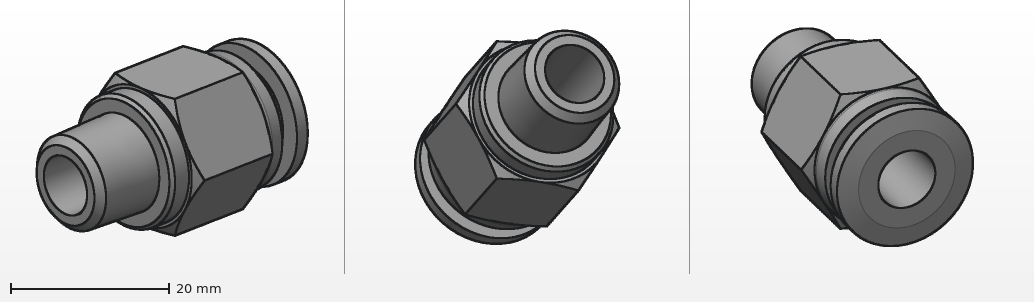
import cadquery as cq
import math

bore_radius = 3.98
thread_tip_radius = 6.37
thread_root_radius = 6.65
thread_chamfer = 1.05
collar_radius = 9.0
collar_chamfer = 0.5
cap_radius = 9.5
cap_end_radius = 9.2
neck_radius = 7.85
sleeve_radius = 6.95
button_radius = 9.5
button_face_radius = 6.75

total_length = 33.7
thread_end = 10.05
hex_start = 12.97
hex_end = 26.5
cap_taper_start = 27.03
cap_end = 29.0
neck_end = 30.13
button_start = 31.27
button_rim_end = 33.15

across_flats = 19.0
across_corners = across_flats / math.cos(math.pi / 6)
hex_face_radius = across_flats / 2
hex_chamfer_length = 0.85


def revolve_profile(points):
    """Revolve a closed (radius, y) profile about the Y axis."""
    return cq.Workplane("XY").polyline(points).close().revolve(360, (0, 0, 0), (0, 1, 0))


def make_turned_body():
    return revolve_profile([
        (0, 0),
        (thread_tip_radius - thread_chamfer, 0),
        (thread_tip_radius, thread_chamfer),
        (thread_root_radius, thread_end),
        (collar_radius - collar_chamfer, thread_end),
        (collar_radius, thread_end + collar_chamfer),
        (collar_radius, hex_end),
        (cap_radius, hex_end),
        (cap_radius, cap_taper_start),
        (cap_end_radius, cap_end),
        (neck_radius, cap_end),
        (neck_radius, neck_end),
        (sleeve_radius, neck_end),
        (sleeve_radius, button_start),
        (button_radius, button_start),
        (button_radius, button_rim_end),
        (button_face_radius, total_length),
        (0, total_length),
    ])


def make_hexagon():
    plane = cq.Plane(origin=(0, hex_start, 0), xDir=(1, 0, 0), normal=(0, 1, 0))
    prism = cq.Workplane(plane).polygon(6, across_corners).extrude(hex_end - hex_start)
    corner_radius = across_corners / 2
    envelope = revolve_profile([
        (0, hex_start),
        (hex_face_radius, hex_start),
        (corner_radius, hex_start + hex_chamfer_length),
        (corner_radius, hex_end - hex_chamfer_length),
        (hex_face_radius, hex_end),
        (0, hex_end),
    ])
    return prism.intersect(envelope)


def make_bore():
    return cq.Workplane("XZ").circle(bore_radius).extrude(-total_length)


result = make_turned_body().union(make_hexagon()).cut(make_bore())